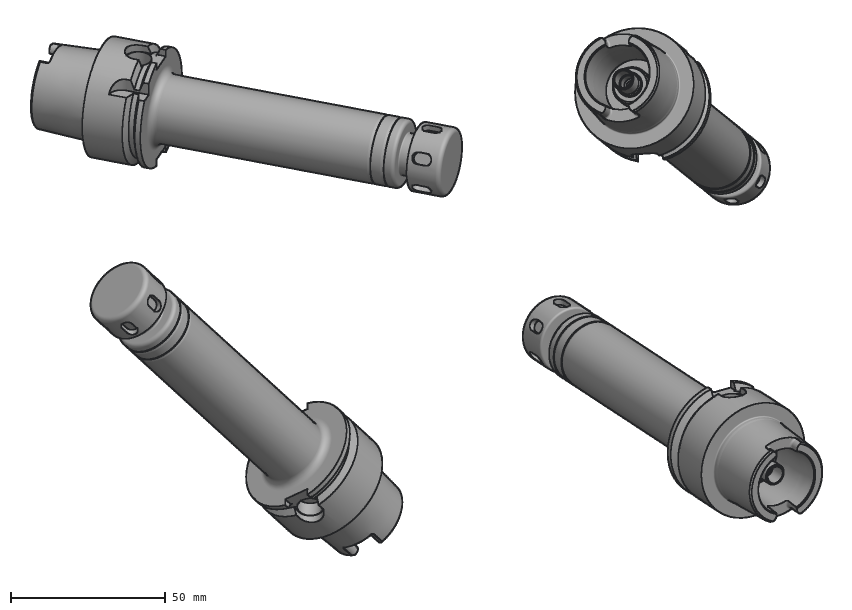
import cadquery as cq

LENGTH = 139.9

TAPER_MOUTH_R = 14.1
TAPER_BASE_R = 15.0
TAPER_END_X = 17.9
MOUTH_CHAMFER = 0.5
RELIEF_R = 15.1
RELIEF_X = 18.7
RELIEF_FILLET = 0.4

FLANGE_R = 20.0
FLANGE_X = 20.0
FLANGE_END_X = 40.0
GROOVE_R = 17.5
GROOVE_CENTRE_X = 36.0
GROOVE_FLOOR_WIDTH = 1.8
GROOVE_MOUTH_WIDTH = 4.3

SHANK_R = 11.5
SHANK_FILLET = 2.5
SHANK_END_X = 124.1
SHANK_END_ROUND = 1.3
RING_DEPTH = 0.3
RING_WIDTH = 1.1
RING_STARTS = (114.9, 119.5)
NECK_R = 7.0
NECK_FILLET = 0.4

NUT_X = 128.3
NUT_R = SHANK_R
NUT_REAR_ROUND = 0.7
NUT_FRONT_ROUND = 1.5
NUT_SLOT_COUNT = 6
NUT_SLOT_LENGTH = 6.6
NUT_SLOT_WIDTH = 3.9
NUT_SLOT_DEPTH = 2.1
NUT_SLOT_CENTRE_X = 133.2

BORE_MOUTH_R = 11.0
BORE_R = 10.8
BORE_MOUTH_DEPTH = 0.4
BORE_STEP_X = 7.4
BORE_STEP_R = 10.2
BORE_FLOOR_R = 9.8
BORE_FLOOR_X = 21.0

TUBE_R = 3.5
TUBE_TIP_CHAMFER = 0.3
TUBE_TIP_X = 6.9
TUBE_COLLAR_DIAMETER = 8.0
TUBE_COLLAR_TAPER = 0.5
TUBE_COLLAR_X = 13.3
TUBE_NUT_R = 6.2
TUBE_NUT_CHAMFER = 0.5
TUBE_NUT_X = 15.4
TUBE_STEPS = ((5.7, 12.6), (5.0, 16.8), (3.5, 19.6), (3.0, 22.4), (1.7, 25.2))

NOTCH_HALF_WIDTH = 3.9
NOTCH_ROUND = 2.1
NOTCH_FLOOR_FILLET = 0.7
TOP_NOTCH_DEPTH = 3.6
BOTTOM_NOTCH_DEPTH = 5.9
NOTCH_ROUND_BASE_Z = 10.6
NOTCH_INNER_Z = BORE_FLOOR_R / 2

SLOT_WIDTH = 8.8
SLOT_CENTRE_X = 32.2
SLOT_FLOOR_Z = 17.0
SLOT_HOLE_DIAMETER = 8.5
SLOT_HOLE_FLOOR_Z = 11.9
CORNER_NOTCH_OFFSET = 11.9


def revolve_about_x(points):
    return cq.Workplane("XY").polyline(points).close().revolve(360, (0, 0, 0), (1, 0, 0))


def make_body():
    groove_floor = GROOVE_FLOOR_WIDTH / 2
    groove_mouth = GROOVE_MOUTH_WIDTH / 2
    outline = cq.Workplane("XY").moveTo(0, 0)
    outline = outline.lineTo(0, TAPER_MOUTH_R - MOUTH_CHAMFER)
    outline = outline.lineTo(MOUTH_CHAMFER, TAPER_MOUTH_R)
    outline = outline.lineTo(TAPER_END_X, TAPER_BASE_R)
    outline = outline.lineTo(RELIEF_X, RELIEF_R)
    outline = outline.lineTo(FLANGE_X - RELIEF_FILLET, RELIEF_R)
    outline = outline.radiusArc((FLANGE_X, RELIEF_R + RELIEF_FILLET), -RELIEF_FILLET)
    outline = outline.lineTo(FLANGE_X, FLANGE_R)
    outline = outline.lineTo(GROOVE_CENTRE_X - groove_mouth, FLANGE_R)
    outline = outline.lineTo(GROOVE_CENTRE_X - groove_floor, GROOVE_R)
    outline = outline.lineTo(GROOVE_CENTRE_X + groove_floor, GROOVE_R)
    outline = outline.lineTo(GROOVE_CENTRE_X + groove_mouth, FLANGE_R)
    outline = outline.lineTo(FLANGE_END_X, FLANGE_R)
    outline = outline.lineTo(FLANGE_END_X, SHANK_R + SHANK_FILLET)
    outline = outline.radiusArc((FLANGE_END_X + SHANK_FILLET, SHANK_R), -SHANK_FILLET)
    for start in RING_STARTS:
        outline = outline.lineTo(start, SHANK_R)
        outline = outline.lineTo(start + RING_WIDTH, SHANK_R - RING_DEPTH)
        outline = outline.lineTo(start + RING_WIDTH, SHANK_R)
    outline = outline.lineTo(SHANK_END_X - SHANK_END_ROUND, SHANK_R)
    outline = outline.radiusArc((SHANK_END_X, SHANK_R - SHANK_END_ROUND), SHANK_END_ROUND)
    outline = outline.lineTo(SHANK_END_X, NECK_R + NECK_FILLET)
    outline = outline.radiusArc((SHANK_END_X + NECK_FILLET, NECK_R), -NECK_FILLET)
    outline = outline.lineTo(NUT_X, NECK_R)
    outline = outline.lineTo(NUT_X, NUT_R - NUT_REAR_ROUND)
    outline = outline.radiusArc((NUT_X + NUT_REAR_ROUND, NUT_R), NUT_REAR_ROUND)
    outline = outline.lineTo(LENGTH - NUT_FRONT_ROUND, NUT_R)
    outline = outline.radiusArc((LENGTH, NUT_R - NUT_FRONT_ROUND), NUT_FRONT_ROUND)
    outline = outline.lineTo(LENGTH, 0).close()
    return outline.revolve(360, (0, 0, 0), (1, 0, 0))


def make_bore():
    return revolve_about_x([
        (0, 0),
        (0, BORE_MOUTH_R),
        (BORE_MOUTH_DEPTH, BORE_R),
        (BORE_STEP_X, BORE_STEP_R),
        (BORE_FLOOR_X, BORE_FLOOR_R),
        (BORE_FLOOR_X, 0),
    ])


def make_coolant_tube():
    return revolve_about_x([
        (TUBE_TIP_X, 0),
        (TUBE_TIP_X, TUBE_R - TUBE_TIP_CHAMFER),
        (TUBE_TIP_X + TUBE_TIP_CHAMFER, TUBE_R),
        (TUBE_COLLAR_X, TUBE_R),
        (TUBE_COLLAR_X + TUBE_COLLAR_TAPER, TUBE_COLLAR_DIAMETER / 2),
        (TUBE_NUT_X, TUBE_COLLAR_DIAMETER / 2),
        (TUBE_NUT_X, TUBE_NUT_R - TUBE_NUT_CHAMFER),
        (TUBE_NUT_X + TUBE_NUT_CHAMFER, TUBE_NUT_R),
        (BORE_FLOOR_X, TUBE_NUT_R),
        (BORE_FLOOR_X, 0),
    ])


def make_tube_passage():
    points = [(TUBE_TIP_X, 0)]
    start_x = TUBE_TIP_X
    for diameter, end_x in TUBE_STEPS:
        points += [(start_x, diameter / 2), (end_x, diameter / 2)]
        start_x = end_x
    points.append((start_x, 0))
    return revolve_about_x(points)


def make_drive_notch(depth, side):
    """Flared notch through the taper wall, on +Z for side 1 or -Z for side -1."""
    flare = NOTCH_HALF_WIDTH + NOTCH_ROUND
    round_top = NOTCH_ROUND_BASE_Z + NOTCH_ROUND
    profile = (
        cq.Workplane("YZ")
        .moveTo(-NOTCH_HALF_WIDTH, side * NOTCH_INNER_Z)
        .lineTo(NOTCH_HALF_WIDTH, side * NOTCH_INNER_Z)
        .lineTo(NOTCH_HALF_WIDTH, side * NOTCH_ROUND_BASE_Z)
        .radiusArc((flare, side * round_top), side * NOTCH_ROUND)
        .lineTo(flare, side * FLANGE_R)
        .lineTo(-flare, side * FLANGE_R)
        .lineTo(-flare, side * round_top)
        .radiusArc((-NOTCH_HALF_WIDTH, side * NOTCH_ROUND_BASE_Z), side * NOTCH_ROUND)
        .close()
    )
    return profile.extrude(depth).faces(">X").edges().fillet(NOTCH_FLOOR_FILLET)


def make_flange_slot():
    """Round-ended slot open toward the shank, with a deeper hole at its round end."""
    depth = FLANGE_R - SLOT_FLOOR_Z
    channel_length = FLANGE_END_X - SLOT_CENTRE_X
    plane = cq.Workplane("XY", origin=(SLOT_CENTRE_X, 0, SLOT_FLOOR_Z))
    end = plane.circle(SLOT_WIDTH / 2).extrude(depth)
    channel = plane.center(channel_length / 2, 0).rect(channel_length, SLOT_WIDTH).extrude(depth)
    hole = (
        cq.Workplane("XY", origin=(SLOT_CENTRE_X, 0, SLOT_HOLE_FLOOR_Z))
        .circle(SLOT_HOLE_DIAMETER / 2)
        .extrude(FLANGE_R - SLOT_HOLE_FLOOR_Z)
    )
    return end.union(channel).union(hole)


def make_corner_notch():
    """Square step in the flange corner between -Y and +Z with one rounded end."""
    radius = SLOT_WIDTH / 2
    wall = -CORNER_NOTCH_OFFSET
    return (
        cq.Workplane("XY", origin=(0, 0, CORNER_NOTCH_OFFSET))
        .moveTo(SLOT_CENTRE_X, wall)
        .lineTo(FLANGE_END_X, wall)
        .lineTo(FLANGE_END_X, -FLANGE_R)
        .lineTo(SLOT_CENTRE_X - radius, -FLANGE_R)
        .lineTo(SLOT_CENTRE_X - radius, wall - radius)
        .radiusArc((SLOT_CENTRE_X, wall), radius)
        .close()
        .extrude(FLANGE_R - CORNER_NOTCH_OFFSET)
    )


def make_nut_slot():
    return (
        cq.Workplane("XY", origin=(NUT_SLOT_CENTRE_X, 0, NUT_R - NUT_SLOT_DEPTH))
        .slot2D(NUT_SLOT_LENGTH, NUT_SLOT_WIDTH)
        .extrude(2 * NUT_SLOT_DEPTH)
    )


result = make_body().cut(make_bore()).union(make_coolant_tube()).cut(make_tube_passage())
result = result.cut(make_drive_notch(TOP_NOTCH_DEPTH, 1))
result = result.cut(make_drive_notch(BOTTOM_NOTCH_DEPTH, -1))

for slot_angle in (0, 180):
    result = result.cut(make_flange_slot().rotate((0, 0, 0), (1, 0, 0), slot_angle))
result = result.cut(make_corner_notch())

for index in range(NUT_SLOT_COUNT):
    slot_angle = index * 360 / NUT_SLOT_COUNT
    result = result.cut(make_nut_slot().rotate((0, 0, 0), (1, 0, 0), slot_angle))